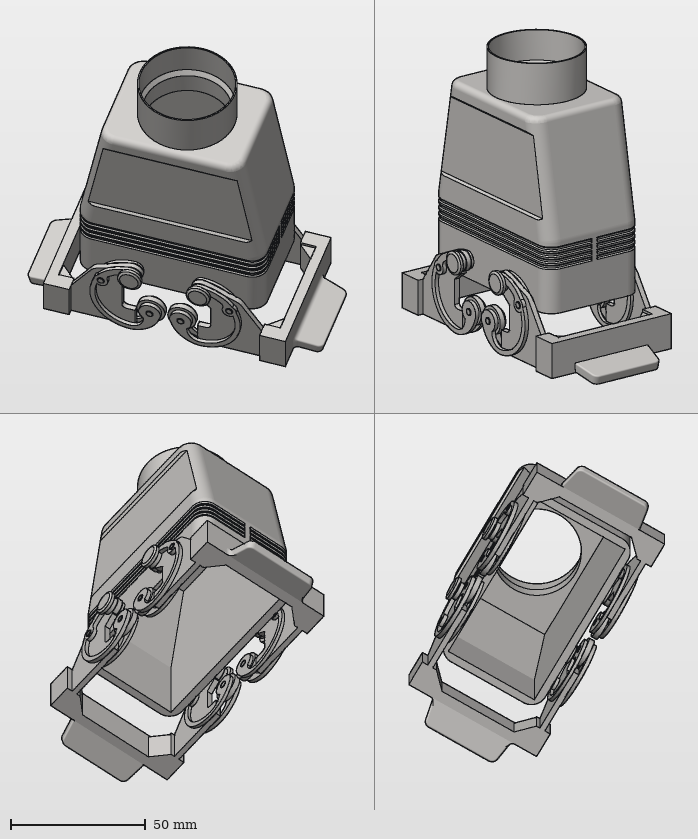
import cadquery as cq
import math


overall_length = 115.79
overall_height = 114.08

hood_half_length = 36.5
hood_half_width = 21.5
hood_top_half_length = 27.8
hood_height = 75.0
taper_start_z = 28.5
taper_blend_radius = 6.0
corner_radius = 6.0
top_edge_radius = 2.5
wall = 3.0
roof_thickness = 5.7

neck_top_z = 91.3
neck_radius = 18.55
neck_counterbore_radius = 18.0
neck_bore_radius = 16.6
counterbore_floor_z = 77.4
counterbore_cone_height = 1.9

panel_depth = 0.9
panel_bottom_z = 36.1
panel_top_z = 69.0

groove_count = 4
groove_pitch = 2.4
groove_width = 1.7
groove_depth = 0.5
first_groove_top_z = 26.4
groove_gap = 2.5

frame_outer_x = 47.3
frame_inner_x = 37.2
frame_bar_thickness = 4.0
frame_half_width = 27.5
frame_arm_thickness = 6.0
frame_top_z = -6.4
frame_bottom_z = -20.3
gusset_leg = 6.0
gusset_drop = 1.0

handle_angle = 15.0
handle_thickness = 3.8
handle_length = 13.0
handle_root_half_width = 17.2
handle_tip_half_width = 14.9
handle_corner_radius = 2.5
handle_edge_radius = 0.6
handle_root_radius = 1.8

plate_inner_y = 23.0
plate_outer_y = 25.2
plate_edge_slope = 22.0
plate_shoulder_low = (-29.25, 5.0)
plate_shoulder_middle = (-28.25, 5.9)
plate_shoulder_high = (-27.0, 6.5)
plate_neck = (-12.9, 2.9)
window_edge_x = -17.3
window_top_z = -0.6
window_top_chamfer = 0.6
window_ledge_z = -11.8
window_corner_start_z = -10.6
window_corner_middle = (-16.6, -11.4)
window_corner_end_x = -15.3
window_ledge_end_x = -12.2
spring_inner_y = 21.7
spring_outer_y = 26.8

pin_x, pin_z = -13.4, 7.7
pin_neck_radius = 2.8
pin_head_radius = 4.6
pin_head_inner_y = 27.3
pin_head_outer_y = 29.0
pin_head_bevel_width = 1.0
pin_head_bevel_height = 0.5
plate_hub_radius = 3.9

spring_center_z = -4.8
spring_outer_radius = 16.0
spring_inner_radius = 14.0
spring_arm_inner_radius = 13.2
spring_hub_radius = spring_center_z + spring_outer_radius - pin_z
rivet_x, rivet_z = -25.1, 2.1
rivet_boss_radius = 2.75
rivet_radius = 1.4
rivet_outer_y = 27.1
rivet_bevel = 0.25
rivet_blend_radius = 2.0

curl_x, curl_z = -6.05, -9.84
curl_radius = 4.25
roller_radius = 5.5
hook_outer_middle = (-4.8, -16.35)
hook_inner_middle = (-10.2, -17.45)
hook_throat_low = (-8.57, -14.57)
hook_throat_high = (-8.5, -13.3)


def mirrored_in_y(shape):
    return shape.union(shape.mirror("XZ"))


def layer(profile, inner_y, outer_y):
    """Extrude an XZ profile, drawn on the y = 0 plane, from -inner_y to -outer_y."""
    return profile.extrude(outer_y - inner_y).translate((0, -inner_y, 0))


def disc(x, z, radius, inner_y, outer_y):
    return layer(cq.Workplane("XZ").center(x, z).circle(radius), inner_y, outer_y)


def slab(x_size, y_size, z_bottom, z_top):
    block = cq.Workplane("XY").box(x_size, y_size, z_top - z_bottom, centered=(True, True, False))
    return block.translate((0, 0, z_bottom))


def house_block(base_half, top_half, half_width, top_z):
    """Straight-sided block that tapers in x from taper_start_z up to top_z."""
    outline = [
        (-base_half, 0),
        (base_half, 0),
        (base_half, taper_start_z),
        (top_half, top_z),
        (-top_half, top_z),
        (-base_half, taper_start_z),
    ]
    return cq.Workplane("XZ").polyline(outline).close().extrude(half_width, both=True)


def hood_body():
    body = house_block(hood_half_length, hood_top_half_length, hood_half_width, hood_height)
    shoulder = cq.selectors.BoxSelector(
        (-overall_length, -overall_length, taper_start_z - 1),
        (overall_length, overall_length, taper_start_z + 1),
    )
    body = body.edges("|Y").edges(shoulder).fillet(taper_blend_radius)
    body = body.faces("<Y or >Y").edges("not(#Z)").fillet(corner_radius)
    return body.faces(">Z").edges().fillet(top_edge_radius)


def hood_cavity():
    slope = (hood_half_length - hood_top_half_length) / (hood_height - taper_start_z)
    roof_z = hood_height - roof_thickness
    roof_half = hood_top_half_length + slope * roof_thickness - wall
    return house_block(hood_half_length - wall, roof_half, hood_half_width - wall, roof_z)


def panel_recess():
    """Trapezoidal channel across the front face, with 45 degree ends."""
    floor_y = hood_half_width - panel_depth
    return (
        cq.Workplane("YZ")
        .moveTo(-hood_half_width, panel_bottom_z)
        .lineTo(-floor_y, panel_bottom_z + panel_depth)
        .lineTo(-floor_y, panel_top_z - panel_depth)
        .lineTo(-hood_half_width, panel_top_z)
        .close()
        .extrude(hood_half_length, both=True)
    )


def hood_outline(inset, z):
    """Hood outline at height z, moved inward by inset."""
    length = 2 * (hood_half_length - inset)
    width = 2 * (hood_half_width - inset)
    outline = cq.Sketch().rect(length, width).vertices().fillet(corner_radius - inset)
    return cq.Workplane("XY").workplane(offset=z).placeSketch(outline)


def groove_cutter(top_z):
    """Ring with 45 degree walls for one grip groove, interrupted at the middle of each end."""
    bottom_z = top_z - groove_width
    ring = slab(2 * hood_half_length + 1, 2 * hood_half_width + 1, bottom_z, top_z)
    core = hood_outline(groove_depth, bottom_z).extrude(groove_width)
    lower_wall = hood_outline(0, bottom_z).extrude(groove_depth, taper=45)
    upper_wall = hood_outline(0, top_z).extrude(-groove_depth, taper=45)
    gap = slab(4 * hood_half_length, groove_gap, bottom_z, top_z)
    return ring.cut(core).cut(lower_wall).cut(upper_wall).cut(gap)


def neck():
    tube = cq.Workplane("XY").circle(neck_radius).extrude(neck_top_z - hood_height)
    return tube.translate((0, 0, hood_height))


def neck_opening():
    cone_top_z = counterbore_floor_z + counterbore_cone_height
    return (
        cq.Workplane("XZ")
        .lineTo(neck_bore_radius, 0)
        .lineTo(neck_bore_radius, counterbore_floor_z)
        .lineTo(neck_counterbore_radius, cone_top_z)
        .lineTo(neck_counterbore_radius, neck_top_z)
        .lineTo(0, neck_top_z)
        .close()
        .revolve(360, (0, 0, 0), (0, 1, 0))
    )


def hood():
    body = hood_body().union(neck()).cut(neck_opening()).cut(hood_cavity())
    body = body.cut(mirrored_in_y(panel_recess()))
    for index in range(groove_count):
        body = body.cut(groove_cutter(first_groove_top_z - index * groove_pitch))
    return body


def frame():
    """U-shaped end bar of the left bail, with gussets in its two inner corners."""
    height = frame_top_z - frame_bottom_z
    bar_inner_x = frame_outer_x - frame_bar_thickness
    arm_inner_y = frame_half_width - frame_arm_thickness
    bar_and_arms = (
        cq.Workplane("XY")
        .moveTo(-frame_outer_x, -frame_half_width)
        .lineTo(-frame_inner_x, -frame_half_width)
        .lineTo(-frame_inner_x, -arm_inner_y)
        .lineTo(-bar_inner_x, -arm_inner_y)
        .lineTo(-bar_inner_x, arm_inner_y)
        .lineTo(-frame_inner_x, arm_inner_y)
        .lineTo(-frame_inner_x, frame_half_width)
        .lineTo(-frame_outer_x, frame_half_width)
        .close()
        .extrude(height)
    )
    gusset = (
        cq.Workplane("XY")
        .moveTo(-bar_inner_x, -arm_inner_y)
        .lineTo(-frame_inner_x, -arm_inner_y)
        .lineTo(-bar_inner_x, -arm_inner_y + gusset_leg)
        .close()
        .extrude(height - gusset_drop)
    )
    return bar_and_arms.union(mirrored_in_y(gusset)).translate((0, 0, frame_bottom_z))


def place_handle(shape):
    """Tilt a flat shape and move it so that x = z = 0 lands on the left handle's upper tip edge."""
    tilt = math.radians(handle_angle)
    rounding = handle_edge_radius * (math.cos(tilt) + math.sin(tilt) - 1)
    lowest_z = neck_top_z - overall_height
    tip_x = -overall_length / 2 - rounding
    tip_z = lowest_z - rounding + handle_thickness * math.cos(tilt)
    return shape.rotate((0, 0, 0), (0, 1, 0), -handle_angle).translate((tip_x, 0, tip_z))


def plain_handle():
    """Thumb flap that slopes down and outward from the frame bar."""
    outline = [
        (0, handle_tip_half_width),
        (handle_length, handle_root_half_width),
        (handle_length, -handle_root_half_width),
        (0, -handle_tip_half_width),
    ]
    flap = cq.Workplane("XY").polyline(outline).close().extrude(-handle_thickness)
    flap = flap.edges("|Z and <X").fillet(handle_corner_radius)
    flap = flap.faces("<Z or >Z").edges("not(>X)").fillet(handle_edge_radius)
    return place_handle(flap)


def flared_handle():
    """Thumb flap whose top and sides are filleted into the frame bar."""
    lowest_z = neck_top_z - overall_height
    bar_face = slab(frame_bar_thickness, 2 * frame_half_width, lowest_z, frame_top_z)
    bar_face = bar_face.translate((frame_bar_thickness / 2 - frame_outer_x, 0, 0))
    root = cq.selectors.BoxSelector(
        (-frame_outer_x - 0.1, 1 - frame_half_width, lowest_z + 1),
        (-frame_outer_x + 0.1, frame_half_width - 1, frame_top_z - 1),
    )
    flared = plain_handle().union(bar_face).edges(root).fillet(handle_root_radius)
    keep = slab(4 * handle_length, 2 * frame_half_width, -handle_thickness, 2 * handle_length)
    return flared.intersect(place_handle(keep))


def side_plate():
    """Flat plate that carries the spring and joins it to the frame arm."""
    edge_slope = math.radians(plate_edge_slope)
    hub_tangent_x = pin_x - plate_hub_radius * math.sin(edge_slope)
    hub_tangent_z = pin_z + plate_hub_radius * math.cos(edge_slope)
    outline = (
        cq.Workplane("XZ")
        .moveTo(-frame_inner_x, frame_bottom_z)
        .lineTo(-frame_inner_x, frame_top_z)
        .lineTo(*plate_shoulder_low)
        .threePointArc(plate_shoulder_middle, plate_shoulder_high)
        .lineTo(hub_tangent_x, hub_tangent_z)
        .lineTo(pin_x, pin_z)
        .lineTo(*plate_neck)
        .lineTo(window_edge_x + window_top_chamfer, window_top_z + window_top_chamfer)
        .lineTo(window_edge_x, window_top_z)
        .lineTo(window_edge_x, window_corner_start_z)
        .threePointArc(window_corner_middle, (window_corner_end_x, window_ledge_z))
        .lineTo(window_ledge_end_x, window_ledge_z)
        .lineTo(window_ledge_end_x, frame_bottom_z)
        .close()
    )
    plate = layer(outline, plate_inner_y, plate_outer_y)
    return plate.union(disc(pin_x, pin_z, plate_hub_radius, plate_inner_y, plate_outer_y))


def on_spring(radius, angle):
    """Point at the given polar position around the spring's centre."""
    turn = math.radians(angle)
    return (pin_x + radius * math.cos(turn), spring_center_z + radius * math.sin(turn))


def ring_sector(inner_radius, start_angle, end_angle):
    middle = (start_angle + end_angle) / 2
    return (
        cq.Workplane("XZ")
        .moveTo(*on_spring(spring_outer_radius, start_angle))
        .threePointArc(on_spring(spring_outer_radius, middle), on_spring(spring_outer_radius, end_angle))
        .lineTo(*on_spring(inner_radius, end_angle))
        .threePointArc(on_spring(inner_radius, middle), on_spring(inner_radius, start_angle))
        .close()
    )


def boss_blend_zone():
    """Box around the inward corner where the rivet boss meets the spring's upper arm."""
    reach = rivet_boss_radius
    return cq.selectors.BoxSelector(
        (rivet_x, -spring_outer_y, rivet_z),
        (rivet_x + 2 * reach, -spring_inner_y, rivet_z + 2 * reach),
    )


def spring_strip(inner_y, outer_y):
    """One layer of the C-shaped spring, from the pin hub round to its curled end."""
    rivet_angle = math.degrees(math.atan2(rivet_z - spring_center_z, rivet_x - pin_x))
    hook = (
        cq.Workplane("XZ")
        .moveTo(*on_spring(spring_outer_radius, 270))
        .threePointArc(hook_outer_middle, (curl_x + curl_radius, curl_z))
        .lineTo(curl_x, curl_z)
        .lineTo(*hook_throat_high)
        .lineTo(*hook_throat_low)
        .threePointArc(hook_inner_middle, on_spring(spring_inner_radius, 270))
        .close()
    )
    span = (inner_y, outer_y)
    strip = layer(ring_sector(spring_inner_radius, rivet_angle, 270), *span)
    strip = strip.union(layer(ring_sector(spring_arm_inner_radius, 90, rivet_angle), *span))
    strip = strip.union(layer(hook, *span))
    strip = strip.union(disc(rivet_x, rivet_z, rivet_boss_radius, *span))
    strip = strip.edges("|Y").edges(boss_blend_zone()).fillet(rivet_blend_radius)
    strip = strip.union(disc(curl_x, curl_z, curl_radius, *span))
    return strip.union(disc(pin_x, pin_z, spring_hub_radius, *span))


def rivet(x, z):
    return disc(x, z, rivet_radius, hood_half_width, rivet_outer_y).faces("<Y").chamfer(rivet_bevel)


def pin():
    """Headed pivot pin anchored in the hood wall."""
    stem = disc(pin_x, pin_z, pin_neck_radius, hood_half_width - wall / 2, pin_head_inner_y)
    head = disc(pin_x, pin_z, pin_head_radius, pin_head_inner_y, pin_head_outer_y)
    head = head.faces("<Y").chamfer(pin_head_bevel_height, pin_head_bevel_width)
    return stem.union(head)


def lever_side():
    roller = disc(curl_x, curl_z, roller_radius, plate_inner_y, plate_outer_y)
    side = side_plate().union(roller).union(pin())
    side = side.union(spring_strip(spring_inner_y, plate_inner_y))
    side = side.union(spring_strip(plate_outer_y, spring_outer_y))
    return side.union(rivet(rivet_x, rivet_z)).union(rivet(curl_x, curl_z))


def bail(handle):
    return frame().union(handle).union(mirrored_in_y(lever_side()))


left_bail = bail(plain_handle())
right_bail = bail(flared_handle()).mirror("YZ")
result = hood().union(left_bail).union(right_bail)